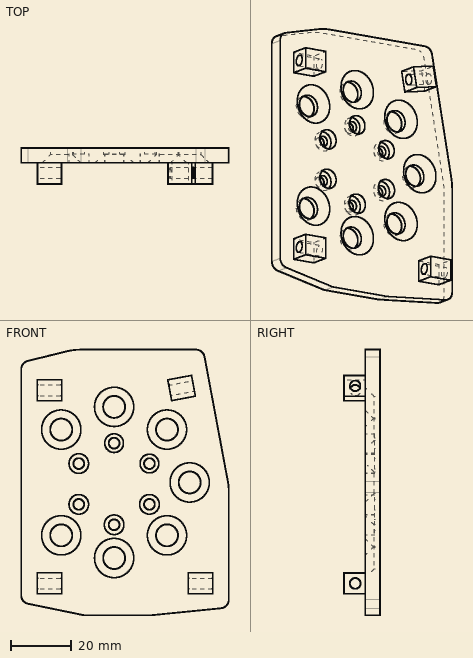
import cadquery as cq
import math


plate_thickness = 5.0
left = -30.8
right = 38.0
top = 44.0
bottom = -44.0
left_top_corner_z = 39.7
left_bottom_corner_z = -39.7
right_bottom_corner_z = -41.4
top_bend_x = -13.3
bottom_left_bend_x = -9.8
bottom_right_bend_x = 12.0
right_bend_z = -1.4
top_right_corner_x = 29.5
corner_radius = 3.0
bend_radius = 19.0

axis_hole_offset = 25.0
large_hole_diameter = 7.2
countersink_diameter = 13.0
countersink_angle = 90.0
diagonal_hole_offset = 17.5

small_circle_radius = 13.5
small_circle_center_z = -0.5
small_hole_diameter = 3.5
counterbore_depth = 3.0
tight_counterbore_diameter = 6.2
wide_counterbore_diameter = 6.5
tight_counterbore_angles = [30, 90]
wide_counterbore_angles = [150, 210, 270, 330]

lug_width = 8.0
lug_height = 7.0
lug_depth = 7.0
lug_inset = 5.4
lug_hole_diameter = 3.5
lug_hole_offset = 3.25
upper_lug_z = 30.5
lower_lug_z = -33.4
tilted_lug_z = 31.25

left_lug_x = left + lug_inset + lug_width / 2
right_lug_x = right - lug_inset - lug_width / 2
edge_tilt = math.atan((right - top_right_corner_x) / (top - right_bend_z))
edge_x_at_tilted_lug = right - (tilted_lug_z - right_bend_z) * math.tan(edge_tilt)
tilted_lug_x = edge_x_at_tilted_lug - (lug_inset + lug_width / 2) / math.cos(edge_tilt)


def round_edges(plate, points, radius):
    """Round the plate edges along Y that pass through the given (x, z) points."""
    selectors = [
        cq.selectors.NearestToPointSelector((x, plate_thickness / 2, z)) for x, z in points
    ]
    edges = [plate.edges(selector).val() for selector in selectors]
    return plate.newObject(edges).fillet(radius)


def make_plate():
    left_top = (left, left_top_corner_z)
    top_bend = (top_bend_x, top)
    right_top = (top_right_corner_x, top)
    right_bend = (right, right_bend_z)
    right_bottom = (right, right_bottom_corner_z)
    bottom_right_bend = (bottom_right_bend_x, bottom)
    bottom_left_bend = (bottom_left_bend_x, bottom)
    left_bottom = (left, left_bottom_corner_z)

    outline = [
        left_top,
        top_bend,
        right_top,
        right_bend,
        right_bottom,
        bottom_right_bend,
        bottom_left_bend,
        left_bottom,
    ]
    plate = cq.Workplane("XZ").polyline(outline).close().extrude(-plate_thickness)

    corners = [left_top, right_top, right_bottom, left_bottom]
    plate = round_edges(plate, corners, corner_radius)
    return round_edges(plate, [top_bend, right_bend], bend_radius)


def on_circle(radius, angles, center_z):
    points = []
    for angle in map(math.radians, angles):
        points.append((radius * math.cos(angle), center_z + radius * math.sin(angle)))
    return points


def lug_side(body, points):
    """Put (x, z) points on the plate face that carries the lugs."""
    return body.copyWorkplane(cq.Workplane("XZ")).pushPoints(points)


def cut_countersunk_holes(body):
    centers = [
        (0, axis_hole_offset),
        (axis_hole_offset, 0),
        (0, -axis_hole_offset),
    ]
    for x in (-diagonal_hole_offset, diagonal_hole_offset):
        for z in (-diagonal_hole_offset, diagonal_hole_offset):
            centers.append((x, z))
    return lug_side(body, centers).cskHole(
        large_hole_diameter, countersink_diameter, countersink_angle
    )


def cut_counterbored_holes(body, angles, counterbore_diameter):
    centers = on_circle(small_circle_radius, angles, small_circle_center_z)
    return lug_side(body, centers).cboreHole(
        small_hole_diameter, counterbore_diameter, counterbore_depth
    )


def make_lug(x, z, tilt=0.0):
    """A block standing out from the plate face, with a hole along its width."""
    lug = cq.Workplane("XY").box(lug_width, lug_depth, lug_height)
    lug = lug.translate((0, -lug_depth / 2, 0))
    hole = (
        cq.Workplane("YZ")
        .center(-lug_hole_offset, 0)
        .circle(lug_hole_diameter / 2)
        .extrude(lug_width, both=True)
    )
    lug = lug.cut(hole).rotate((0, 0, 0), (0, 1, 0), -math.degrees(tilt))
    return lug.translate((x, 0, z))


result = make_plate()
result = cut_countersunk_holes(result)
result = cut_counterbored_holes(result, tight_counterbore_angles, tight_counterbore_diameter)
result = cut_counterbored_holes(result, wide_counterbore_angles, wide_counterbore_diameter)

lugs = [
    make_lug(left_lug_x, upper_lug_z),
    make_lug(tilted_lug_x, tilted_lug_z, edge_tilt),
    make_lug(left_lug_x, lower_lug_z),
    make_lug(right_lug_x, lower_lug_z),
]
for lug in lugs:
    result = result.union(lug)